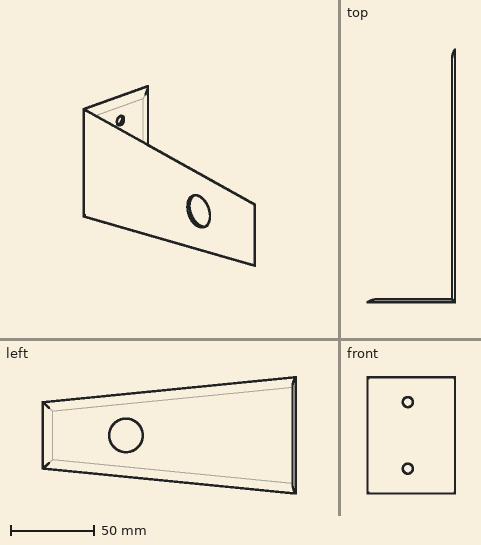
import cadquery as cq
import math

length = 152.0
flange_width = 52.7
root_height = 70.0
tip_height = 40.0
thickness = 2.0

edge_radius = 10.0
edge_width = math.sqrt(edge_radius**2 - (edge_radius - thickness) ** 2)
clearance = 3.0

arm_hole_diameter = 20.0
arm_hole_from_tip = 50.0
screw_hole_diameter = 6.0
screw_hole_spacing = 40.0
screw_hole_from_edge = 24.3


def edge_cutter(start, end):
    """Tool that rounds one edge of a plate whose outer face lies on local z = 0.

    The plate lies to the left of the direction from start to end.
    """
    dx = end[0] - start[0]
    dy = end[1] - start[1]
    run = math.hypot(dx, dy)
    along = (dx / run, dy / run, 0)
    inward = (-along[1], along[0], 0)
    origin = (
        start[0] - clearance * along[0],
        start[1] - clearance * along[1],
        0,
    )
    arc_middle_angle = (math.pi / 2 + math.acos(edge_width / edge_radius)) / 2
    arc_middle = (
        edge_width - edge_radius * math.cos(arc_middle_angle),
        thickness - edge_radius + edge_radius * math.sin(arc_middle_angle),
    )
    return (
        cq.Workplane(cq.Plane(origin=origin, xDir=inward, normal=along))
        .moveTo(0, 0)
        .threePointArc(arc_middle, (edge_width, thickness))
        .lineTo(edge_width, thickness + clearance)
        .lineTo(-clearance, thickness + clearance)
        .lineTo(-clearance, 0)
        .close()
        .extrude(run + 2 * clearance)
    )


def rounded_plate(outline):
    """Plate with every edge rounded but the last, which runs along the bend."""
    plate = cq.Workplane("XY").polyline(outline).close().extrude(thickness)
    for start, end in zip(outline, outline[1:]):
        plate = plate.cut(edge_cutter(start, end))
    return plate


def place(plate, plane):
    """Move a plate from its local XY plane onto the given plane."""
    return cq.Workplane(plate.val().moved(cq.Location(plane)))


arm_plane = cq.Plane(origin=(flange_width, 0, 0), xDir=(0, 0, 1), normal=(-1, 0, 0))
flange_plane = cq.Plane(origin=(0, 0, 0), xDir=(0, 0, 1), normal=(0, 1, 0))

arm = rounded_plate([
    (root_height / 2, 0),
    (tip_height / 2, length),
    (-tip_height / 2, length),
    (-root_height / 2, 0),
])
arm = arm.cut(
    cq.Workplane("XY")
    .center(0, length - arm_hole_from_tip)
    .circle(arm_hole_diameter / 2)
    .extrude(thickness)
)

flange = rounded_plate([
    (-root_height / 2, flange_width),
    (-root_height / 2, 0),
    (root_height / 2, 0),
    (root_height / 2, flange_width),
])
flange = flange.cut(
    cq.Workplane("XY")
    .pushPoints([(side * screw_hole_spacing / 2, screw_hole_from_edge) for side in (-1, 1)])
    .circle(screw_hole_diameter / 2)
    .extrude(thickness)
)

result = place(arm, arm_plane).union(place(flange, flange_plane))